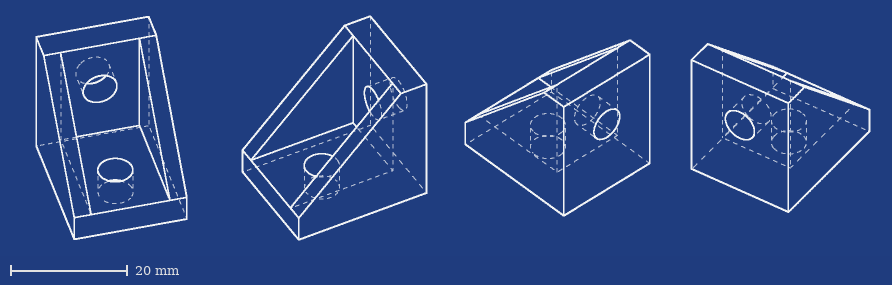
import cadquery as cq

leg_length = 25.0
width = 20.0
leg_thickness = 5.0
cheek_thickness = 3.0
hole_diameter = 6.0

hole_position = (leg_length + leg_thickness) / 2
pocket_width = width - 2 * cheek_thickness
pocket_length = leg_length - leg_thickness


def bracket_body():
    """Solid gusset with its outer corner at X = Z = 0, centred on Y."""
    outline = [
        (0, 0),
        (leg_length, 0),
        (leg_length, leg_thickness),
        (leg_thickness, leg_length),
        (0, leg_length),
    ]
    return cq.Workplane("XZ").polyline(outline).close().extrude(width / 2, both=True)


def pocket():
    """Open space between the cheeks, inside the two legs."""
    return (
        cq.Workplane("XY")
        .box(pocket_length, pocket_width, pocket_length, centered=(False, True, False))
        .translate((leg_thickness, 0, leg_thickness))
    )


def bolt_hole(plane):
    """Hole through one leg, at the same distance from the outer corner on both."""
    centre = (hole_position, 0) if plane == "XY" else (0, hole_position)
    return cq.Workplane(plane).center(*centre).circle(hole_diameter / 2).extrude(leg_thickness)


result = bracket_body().cut(pocket())
for leg_plane in ("XY", "YZ"):
    result = result.cut(bolt_hole(leg_plane))